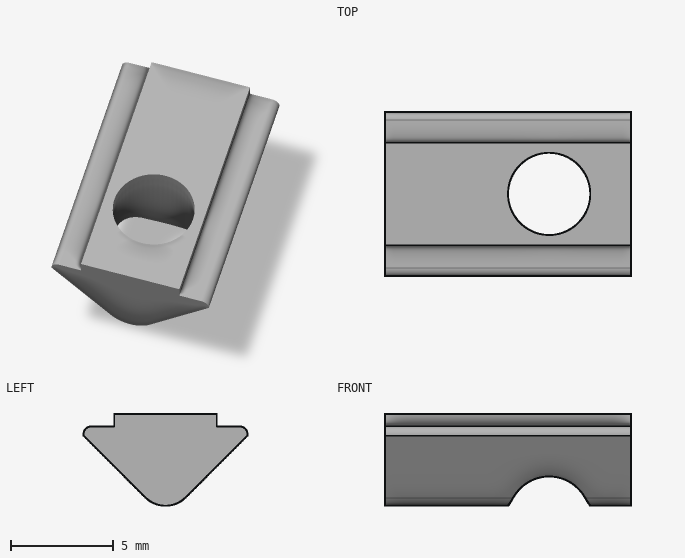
import cadquery as cq
import math

length = 12.0
width = 8.0
height = 4.48

rib_width = 5.0
rib_height = 0.6
wing_radius = 0.4

keel_radius = 1.38
flank_angle = math.radians(45)

hole_diameter = 4.0
hole_x = 8.0

half_width = width / 2
half_rib = rib_width / 2
wing_z = height - rib_height
wing_centre_y = half_width - wing_radius
wing_centre_z = wing_z - wing_radius


def arc_point(centre_y, centre_z, radius, angle):
    """Point on a circle in the YZ plane, angle measured from +Y."""
    return (centre_y + radius * math.cos(angle), centre_z + radius * math.sin(angle))


def mirrored(point):
    """The same point on the -Y side of the profile."""
    return (-point[0], point[1])


flank_normal = flank_angle - math.pi / 2
wing_top = (wing_centre_y, wing_z)
wing_tip = (half_width, wing_centre_z)
keel_end = arc_point(0, keel_radius, keel_radius, flank_normal)

flank_distance = (
    (keel_end[0] - wing_centre_y) * math.cos(flank_normal)
    + (keel_end[1] - wing_centre_z) * math.sin(flank_normal)
)
wing_end_angle = flank_normal + math.acos(flank_distance / wing_radius)
wing_end = arc_point(wing_centre_y, wing_centre_z, wing_radius, wing_end_angle)

profile = (
    cq.Workplane("YZ")
    .moveTo(-half_rib, height)
    .lineTo(half_rib, height)
    .lineTo(half_rib, wing_z)
    .lineTo(*wing_top)
    .threePointArc(wing_tip, wing_end)
    .lineTo(*keel_end)
    .threePointArc((0, 0), mirrored(keel_end))
    .lineTo(*mirrored(wing_end))
    .threePointArc(mirrored(wing_tip), mirrored(wing_top))
    .lineTo(-half_rib, wing_z)
    .close()
)
body = profile.extrude(length)

hole = cq.Workplane("XY").center(hole_x, 0).circle(hole_diameter / 2).extrude(height)

result = body.cut(hole)